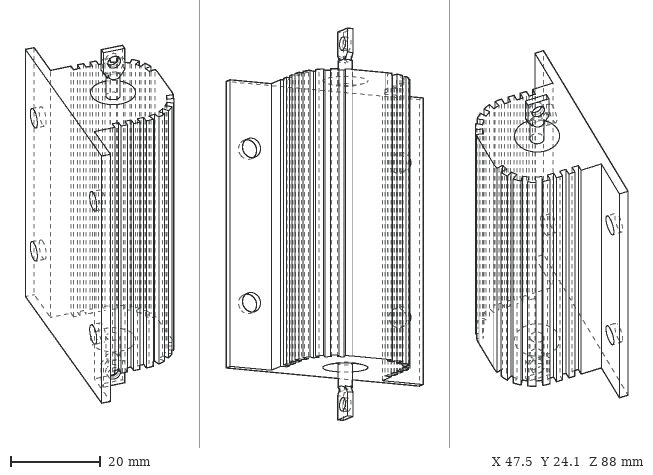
import cadquery as cq
import math


total_length = 88.0
housing_length = 65.0

flange_width = 47.5
flange_thickness = 2.1
mount_hole_diameter = 4.4
mount_hole_spacing_x = 37.0
mount_hole_spacing_z = 35.0

body_width = 27.3
body_height = 24.1
shoulder_radius = 9.6

groove_width = 1.5
groove_depth = 1.6
side_groove_count = 3
side_groove_pitch = 3.0
first_side_groove_y = 7.7
shoulder_groove_count = 4
first_shoulder_groove_angle = 14.6
shoulder_groove_pitch_angle = 20.3

terminal_y = 11.8
pin_diameter = 3.2
dish_diameter = 10.0
dish_depth = 1.0
lug_width = 5.1
lug_thickness = 1.4
lug_length = 7.0
lug_corner_width = 1.1
lug_corner_length = 1.6
lug_hole_diameter = 3.0
lug_hole_from_tip = 3.1

half_length = total_length / 2
half_housing = housing_length / 2
half_body = body_width / 2
pin_radius = pin_diameter / 2
pin_shoulder_z = half_length - lug_length


def make_housing():
    """Flange and round-shouldered body, before grooving."""
    flange = cq.Workplane("XY").box(
        flange_width, flange_thickness, housing_length, centered=(True, False, True)
    )
    body = (
        cq.Workplane("XY")
        .box(body_width, body_height, housing_length, centered=(True, False, True))
        .edges("|Z and >Y")
        .fillet(shoulder_radius)
    )
    return flange.union(body)


def make_groove(surface_x, surface_y, angle):
    """Full-length groove cutter, centred on a surface point and turned to the outward angle."""
    return (
        cq.Workplane("XY")
        .box(2 * groove_depth, groove_width, housing_length)
        .rotate((0, 0, 0), (0, 0, 1), angle)
        .translate((surface_x, surface_y, 0))
    )


def cut_grooves(housing):
    """Cut the grooves on the straight side and rounded shoulder, on both sides of the body."""
    grooves = []
    for i in range(side_groove_count):
        grooves.append(make_groove(half_body, first_side_groove_y + i * side_groove_pitch, 0))
    for i in range(shoulder_groove_count):
        angle = first_shoulder_groove_angle + i * shoulder_groove_pitch_angle
        x = half_body - shoulder_radius + shoulder_radius * math.cos(math.radians(angle))
        y = body_height - shoulder_radius + shoulder_radius * math.sin(math.radians(angle))
        grooves.append(make_groove(x, y, angle))
    for groove in grooves:
        housing = housing.cut(groove).cut(groove.mirror("YZ"))
    return housing


def cut_mount_holes(housing):
    """Drill the four holes through the flange."""
    holes = (
        cq.Workplane("XZ")
        .rect(mount_hole_spacing_x, mount_hole_spacing_z, forConstruction=True)
        .vertices()
        .circle(mount_hole_diameter / 2)
        .extrude(-flange_thickness)
    )
    return housing.cut(holes)


def make_dish():
    """Sphere that leaves a shallow dish in the upper end face, around the pin."""
    radius = ((dish_diameter / 2) ** 2 + dish_depth**2) / (2 * dish_depth)
    return cq.Workplane("XY").sphere(radius).translate(
        (0, terminal_y, half_housing - dish_depth + radius)
    )


def make_terminal():
    """Upper terminal: round pin with two concave fillets leading into a flat, drilled lug."""
    pin_root_z = half_housing - 2 * dish_depth
    shoulder_fillet = pin_radius - lug_thickness / 2
    pin_blank = (
        cq.Workplane("XY", origin=(0, terminal_y, pin_root_z))
        .circle(pin_radius)
        .extrude(pin_shoulder_z + shoulder_fillet - pin_root_z)
    )
    pin_outline = (
        cq.Workplane("XZ", origin=(0, terminal_y, 0))
        .moveTo(-pin_radius, pin_root_z)
        .lineTo(pin_radius, pin_root_z)
        .lineTo(pin_radius, pin_shoulder_z)
        .radiusArc((lug_thickness / 2, pin_shoulder_z + shoulder_fillet), shoulder_fillet)
        .lineTo(-lug_thickness / 2, pin_shoulder_z + shoulder_fillet)
        .radiusArc((-pin_radius, pin_shoulder_z), shoulder_fillet)
        .close()
        .extrude(pin_radius, both=True)
    )
    half_lug = lug_width / 2
    half_neck = half_lug - lug_corner_width
    corner_z = pin_shoulder_z + lug_corner_length
    lug = (
        cq.Workplane("YZ", origin=(0, terminal_y, 0))
        .moveTo(-half_neck, pin_shoulder_z)
        .lineTo(half_neck, pin_shoulder_z)
        .lineTo(half_lug, corner_z)
        .lineTo(half_lug, half_length)
        .lineTo(-half_lug, half_length)
        .lineTo(-half_lug, corner_z)
        .close()
        .extrude(lug_thickness / 2, both=True)
    )
    lug_hole = (
        cq.Workplane("YZ", origin=(0, terminal_y, half_length - lug_hole_from_tip))
        .circle(lug_hole_diameter / 2)
        .extrude(lug_thickness, both=True)
    )
    return pin_blank.intersect(pin_outline).union(lug).cut(lug_hole)


housing = cut_mount_holes(cut_grooves(make_housing()))
dish = make_dish()
terminal = make_terminal()
result = (
    housing.cut(dish)
    .cut(dish.mirror("XY"))
    .union(terminal)
    .union(terminal.mirror("XY"))
)